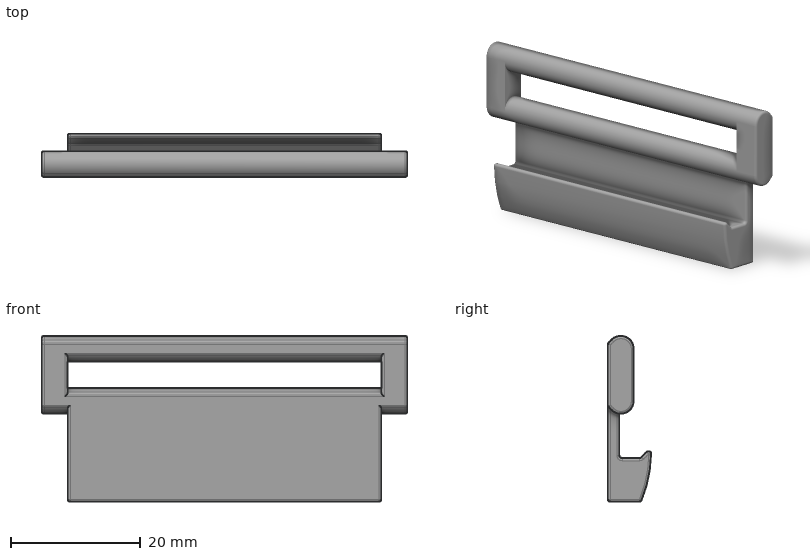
import cadquery as cq
import math

bar_length = 56.3
bar_depth = 4.0
bar_height = 12.0
total_height = 25.54
total_depth = 6.7
post_width = 4.0
plate_thickness = 1.8
hook_tip_height = 7.8
hook_floor_height = 6.75
hook_tip_width = 0.6
hook_back_radius = 20.0
edge_radius = 0.4
rail_flat_angle = 45

round_radius = bar_depth / 2
rail_height = bar_depth
clip_width = bar_length - 2 * post_width
bar_bottom = total_height - bar_height
lower_rail_top = bar_bottom + rail_height
upper_rail_bottom = total_height - rail_height

hook_tip_inner = total_depth - hook_tip_width
hook_floor_end = hook_tip_inner - (hook_tip_height - hook_floor_height)


def hook_back_y(z):
    """Depth of the hook's arched back, which is upright at the tip."""
    drop = hook_tip_height - z
    return total_depth - hook_back_radius + math.sqrt(hook_back_radius**2 - drop**2)


def extrude_along_x(outline, x_start, length):
    """Prism of a YZ outline, starting at x_start."""
    return outline.extrude(length).translate((x_start, 0, 0))


def rounded_bar(z_bottom, z_top, x_start, length):
    """Bar with round back edges; 45 degree flats lead from the rounds to the front face."""
    tangent = round_radius * math.sin(math.radians(rail_flat_angle))
    flat_start_y = round_radius - tangent
    z_low = z_bottom + round_radius
    z_high = z_top - round_radius
    outline = (
        cq.Workplane("YZ")
        .moveTo(0, z_high + tangent - flat_start_y)
        .lineTo(flat_start_y, z_high + tangent)
        .threePointArc((round_radius + tangent, z_high + tangent), (bar_depth, z_high))
    )
    if z_high > z_low:
        outline = outline.lineTo(bar_depth, z_low)
    outline = (
        outline
        .threePointArc((round_radius + tangent, z_low - tangent), (flat_start_y, z_low - tangent))
        .lineTo(0, z_low - tangent + flat_start_y)
        .close()
    )
    return extrude_along_x(outline, x_start, length)


def make_frame():
    """Two rails joined by a post at each end, leaving a long window."""
    frame = rounded_bar(bar_bottom, lower_rail_top, -bar_length / 2, bar_length)
    frame = frame.union(rounded_bar(upper_rail_bottom, total_height, -bar_length / 2, bar_length))
    for x_start in (-bar_length / 2, clip_width / 2):
        frame = frame.union(rounded_bar(bar_bottom, total_height, x_start, post_width))
    return frame


def make_clip():
    """Plate hanging from the lower rail, with a hook along its bottom edge."""
    plate_top = bar_bottom + rail_height / 2
    outline = (
        cq.Workplane("YZ")
        .moveTo(0, 0)
        .lineTo(0, plate_top)
        .lineTo(plate_thickness, plate_top)
        .lineTo(plate_thickness, hook_floor_height)
        .lineTo(hook_floor_end, hook_floor_height)
        .lineTo(hook_tip_inner, hook_tip_height)
        .lineTo(total_depth, hook_tip_height)
        .threePointArc((hook_back_y(hook_tip_height / 2), hook_tip_height / 2), (hook_back_y(0), 0))
        .close()
    )
    return extrude_along_x(outline, -clip_width / 2, clip_width)


def round_edges(body):
    """Rounds the front outline, the window rim, both bar ends and every edge of the hanging clip."""
    clip_region = cq.selectors.BoxSelector(
        (-bar_length, -total_depth, -edge_radius),
        (bar_length, 2 * total_depth, bar_bottom - plate_thickness),
    )
    front_edges = body.faces("<Y").edges()
    bar_end_edges = body.faces("<X or >X").edges()
    clip_edges = body.edges(clip_region)
    return front_edges.add(bar_end_edges).add(clip_edges).fillet(edge_radius)


result = round_edges(make_frame().union(make_clip()))